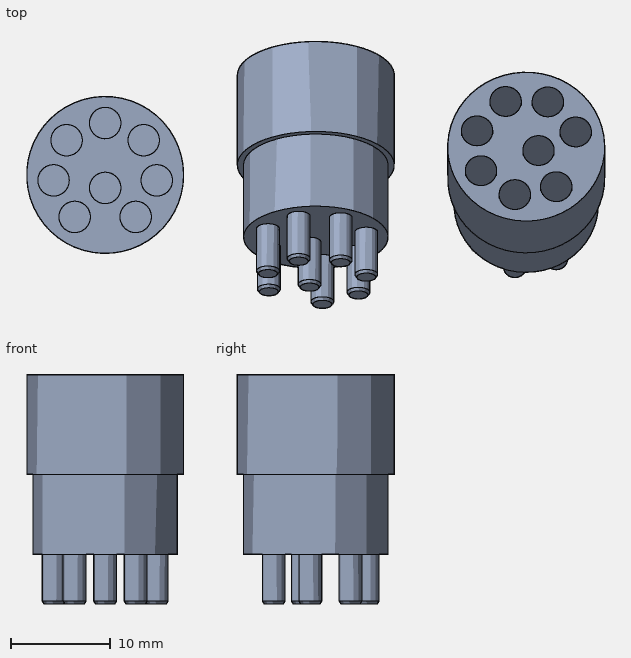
import cadquery as cq
import math

head_diameter = 15.75
head_height = 10.0
shank_diameter = 14.5
shank_height = 8.0

socket_diameter = 3.15
socket_depth = head_height
pin_diameter = 2.3
pin_length = 5.0
pin_tip_chamfer_height = 0.3
pin_tip_chamfer_inset = 0.2

ring_radius = 5.2
ring_contacts = 7
ring_pitch_angle = 48.0
ring_middle_angle = 90.0
inner_contact = (0.0, -1.3)

shank_bottom = pin_length
shank_top = shank_bottom + shank_height
head_top = shank_top + head_height


def contact_points():
    """Centres of all contacts, the ring being symmetric about the Y axis."""
    first_angle = ring_middle_angle - ring_pitch_angle * (ring_contacts - 1) / 2
    points = [inner_contact]
    for i in range(ring_contacts):
        angle = math.radians(first_angle + i * ring_pitch_angle)
        points.append((ring_radius * math.cos(angle), ring_radius * math.sin(angle)))
    return points


def make_body():
    """Wide head on a narrower shank."""
    shank = cq.Workplane("XY", origin=(0, 0, shank_bottom)).circle(shank_diameter / 2).extrude(shank_height)
    head = cq.Workplane("XY", origin=(0, 0, shank_top)).circle(head_diameter / 2).extrude(head_height)
    return shank.union(head)


def make_pins(points):
    """Round pins below the shank with chamfered tips."""
    pins = cq.Workplane("XY").pushPoints(points).circle(pin_diameter / 2).extrude(pin_length)
    return pins.faces("<Z").edges().chamfer(pin_tip_chamfer_height, pin_tip_chamfer_inset)


def make_sockets(points):
    """Blind flat-bottomed sockets, cut down from the top face."""
    top_plane = cq.Workplane("XY", origin=(0, 0, head_top))
    return top_plane.pushPoints(points).circle(socket_diameter / 2).extrude(-socket_depth)


contacts = contact_points()
result = make_body().union(make_pins(contacts)).cut(make_sockets(contacts))